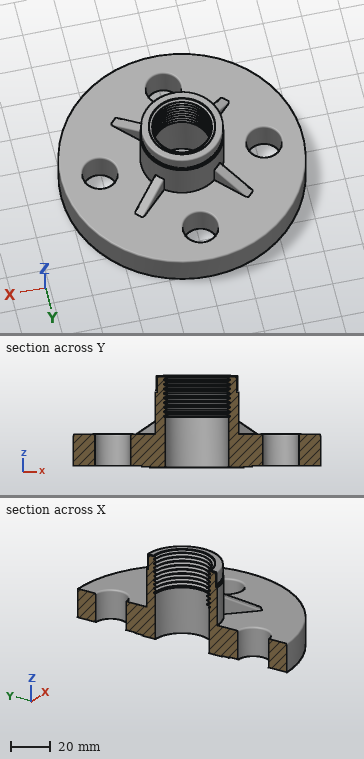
import cadquery as cq
import math

flange_diameter = 125.2
total_height = 46.6
raised_face_height = 0.8
flange_thickness = 16.2
upper_rim_radius = 1.0
raised_step_height = raised_face_height / 2
raised_step_diameter = 56.0
raised_face_diameter = 47.5
flange_top = raised_face_height + flange_thickness

bolt_count = 4
bolt_hole_diameter = 18.0
bolt_circle_diameter = 85.0

hub_diameter = 42.4
spigot_diameter = 40.5
collar_height = 7.4
groove_height = 1.1
collar_bottom = total_height - collar_height
hub_top = collar_bottom - groove_height

collar_diameter = 41.5
collar_lip_diameter = 33.7
collar_wall = (collar_diameter - spigot_diameter) / 2
collar_edge_radius = 0.8
spigot_edge_radius = 1.0
spigot_top = total_height - collar_wall

thread_major_diameter = 33.25
thread_minor_diameter = 29.8
thread_pitch = 2.309
thread_half_angle = math.radians(27.5)
thread_groove_count = 9
first_groove_depth = 2.25
thread_root_width = 0.25
groove_overlap = 0.1
lead_in_end_diameter = 30.4
lead_in_depth = (thread_major_diameter - lead_in_end_diameter) / 2 * math.tan(thread_half_angle)
last_groove_height = total_height - first_groove_depth - (thread_groove_count - 1) * thread_pitch

socket_diameter = 32.0

rib_count = 4
first_rib_angle = 45
rib_width = 5.4
rib_height = 9.6
rib_end_radius = 41.1
rib_edge_radius = 0.85


def cylinder(diameter, bottom, top):
    """Upright cylinder on the Z axis between two heights."""
    return cq.Workplane("XY").workplane(offset=bottom).circle(diameter / 2).extrude(top - bottom)


def make_flange_plate():
    """Round plate with rounded upper rims, bolt holes and a stepped raised face below."""
    plate = (
        cylinder(flange_diameter, raised_face_height, flange_top)
        .faces(">Z").workplane()
        .polarArray(bolt_circle_diameter / 2, 0, 360, bolt_count)
        .hole(bolt_hole_diameter)
    )
    plate = plate.faces(">Z").edges().fillet(upper_rim_radius)
    raised_step = cylinder(raised_step_diameter, raised_step_height, raised_face_height)
    raised_face = cylinder(raised_face_diameter, 0, raised_face_height)
    return plate.union(raised_step).union(raised_face)


def make_rib(angle):
    """Sloping rib with rounded long edges, starting inside the hub wall."""
    hub_radius = hub_diameter / 2
    slope = rib_height / (rib_end_radius - hub_radius)
    start = (hub_diameter + thread_major_diameter) / 4
    start_height = slope * (rib_end_radius - start)
    rib = (
        cq.Workplane("XZ")
        .moveTo(start, flange_top)
        .lineTo(rib_end_radius, flange_top)
        .lineTo(start, flange_top + start_height)
        .close()
        .extrude(rib_width / 2, both=True)
    )
    long_edges = rib.edges(cq.selectors.BoxSelector(
        (hub_radius, -rib_width, flange_top + rib_edge_radius),
        (rib_end_radius, rib_width, total_height),
    ))
    return long_edges.fillet(rib_edge_radius).rotate((0, 0, 0), (0, 0, 1), angle)


def make_thread_groove(center):
    """Ring cutter for one V groove of the thread, overlapping the thread bore slightly."""
    root_radius = thread_major_diameter / 2
    inner_radius = thread_minor_diameter / 2 - groove_overlap
    half_root = thread_root_width / 2
    half_mouth = half_root + (root_radius - inner_radius) * math.tan(thread_half_angle)
    return (
        cq.Workplane("XZ")
        .polyline([
            (inner_radius, center - half_mouth),
            (root_radius, center - half_root),
            (root_radius, center + half_root),
            (inner_radius, center + half_mouth),
        ])
        .close()
        .revolve(360, (0, 0, 0), (0, 1, 0))
    )


def make_thread_lead_in():
    """Cone cutter at the mouth of the thread, at the angle of the thread flanks."""
    return (
        cq.Workplane("XY")
        .workplane(offset=spigot_top - lead_in_depth)
        .circle(lead_in_end_diameter / 2)
        .workplane(offset=lead_in_depth)
        .circle(thread_major_diameter / 2)
        .loft()
    )


def make_spigot(bottom):
    """Solid spigot with a rounded upper rim; it also shapes the cavity of the collar."""
    return cylinder(spigot_diameter, bottom, spigot_top).faces(">Z").edges().fillet(spigot_edge_radius)


def make_flange():
    """Threaded flange: plate, hub, ribs, collar seat and threaded bore with a socket below."""
    body = make_flange_plate()
    body = body.union(cylinder(hub_diameter, flange_top, hub_top))
    body = body.union(make_spigot(hub_top))
    for index in range(rib_count):
        body = body.union(make_rib(first_rib_angle + index * 360 / rib_count))
    body = body.cut(cylinder(thread_minor_diameter, last_groove_height, spigot_top))
    body = body.cut(cylinder(socket_diameter, 0, last_groove_height))
    for turn in range(thread_groove_count):
        body = body.cut(make_thread_groove(last_groove_height + turn * thread_pitch))
    body = body.cut(make_thread_lead_in())
    return body


def make_collar():
    """Collar around the spigot, rounded at its top outer rim."""
    collar = cylinder(collar_diameter, collar_bottom, total_height)
    collar = collar.faces(">Z").edges().fillet(collar_edge_radius)
    collar = collar.cut(make_spigot(collar_bottom))
    return collar.cut(cylinder(collar_lip_diameter, spigot_top, total_height))


flange = make_flange()
collar = make_collar()

result = cq.Compound.makeCompound([flange.val(), collar.val()])